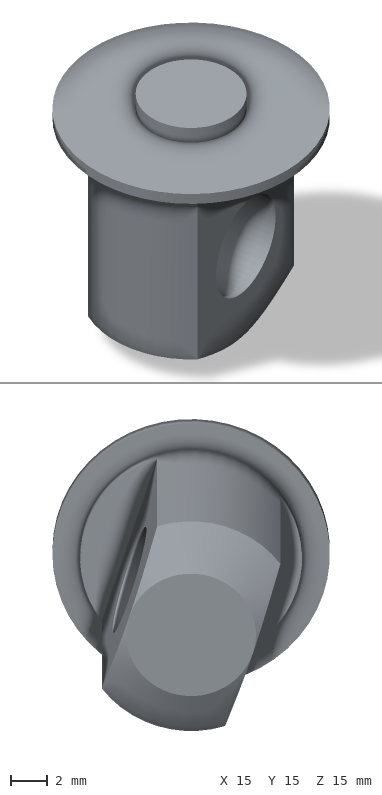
import cadquery as cq
import math

total_height = 15.0
flange_diameter = 15.0
flange_thickness = 0.68
pin_diameter = 6.0
pin_height = 1.0
body_diameter = 12.0
flat_width = 7.0
collar_height = 0.69
tip_angle = 30.0
cross_hole_diameter = 6.0
cross_hole_height = 6.0

flange_top = total_height - pin_height
flange_bottom = flange_top - flange_thickness
flat_top = flange_bottom - collar_height
body_radius = body_diameter / 2
tip_radius = flat_width / 2
tip_height = (body_radius - tip_radius) * math.tan(math.radians(tip_angle))


def turned_blank():
    """Pin, flange and cone-tipped body as one revolved profile."""
    profile = [
        (0, 0),
        (tip_radius, 0),
        (body_radius, tip_height),
        (body_radius, flange_bottom),
        (flange_diameter / 2, flange_bottom),
        (flange_diameter / 2, flange_top),
        (pin_diameter / 2, flange_top),
        (pin_diameter / 2, total_height),
        (0, total_height),
    ]
    return cq.Workplane("XZ").polyline(profile).close().revolve(360, (0, 0), (0, 1))


def flat_cutter(side):
    """Block that removes the body beyond one flat; side is -1 or 1."""
    depth = body_radius
    center_x = side * (flat_width + depth) / 2
    block = cq.Workplane("XY").box(depth, body_diameter, flat_top, centered=(True, True, False))
    return block.translate((center_x, 0, 0))


def cross_hole():
    """Cylinder along X that passes through both flats."""
    plane = cq.Workplane("YZ").center(0, cross_hole_height)
    return plane.circle(cross_hole_diameter / 2).extrude(body_radius, both=True)


result = turned_blank()
for side in (-1, 1):
    result = result.cut(flat_cutter(side))
result = result.cut(cross_hole())